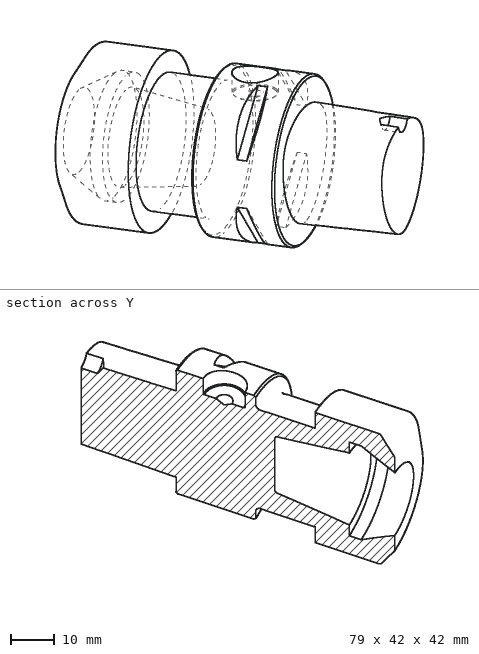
import cadquery as cq
import math

TOTAL_LENGTH = 79.0
NUT_LENGTH = 20.1
NECK_END = 32.2
FLANGE_START = 35.0
FLANGE_END = 55.15

NUT_DIAMETER = 42.0
NUT_FACE_DIAMETER = 30.3
NUT_CONE_LENGTH = 3.6
NUT_EDGE_RADIUS = 0.8
NUT_FACE_RADIUS = 1.6

NECK_DIAMETER = 32.0
RELIEF_DIAMETER = 31.8
RELIEF_RAMP = 0.6
RELIEF_FILLET = 1.3
FLANGE_DIAMETER = 40.0
FLANGE_CHAMFER = 0.5

MOUTH_DIAMETER = 20.1
CHAMBER_DIAMETER = 30.0
CHAMBER_START = 8.45
CHAMBER_END = 11.45
TAPER_DIAMETER = 23.1
THROAT_DIAMETER = 18.0
TAPER_HALF_ANGLE = math.radians(8)
FLOOR_FILLET = 0.7

SHANK_MEAN_RADIUS = 14.0
SHANK_END_RADIUS = 13.4
LOBE_HEIGHT = 0.83
LOBE_COUNT = 3
LOBE_ANGLE = -math.pi / 2
SHANK_POINTS = 48

NOTCH_DIAMETER = 6.0
NOTCH_START = 74.8
NOTCH_HEIGHT = 13.35
DRILL_HALF_ANGLE = math.radians(60)

GROOVE_CENTER = 47.1
GROOVE_FLOOR_WIDTH = 2.3
GROOVE_FLOOR_RADIUS = 17.6
GROOVE_FLANK_ANGLE = math.radians(30)
GROOVE_ANGLES = (45, 135, 225, 315)

POCKET_CENTER = 43.0
POCKET_DIAMETER = 10.5
POCKET_FLOOR_DIAMETER = 10.0
POCKET_DEPTH = 5.05
DIMPLE_DIAMETER = 4.0


def revolve_about_axis(profile):
    """Turn a closed (X, radius) profile about the workplane's X direction."""
    return profile.close().revolve(360, (0, 0, 0), (1, 0, 0))


def make_body():
    nut_r = NUT_DIAMETER / 2
    neck_r = NECK_DIAMETER / 2
    relief_r = RELIEF_DIAMETER / 2
    flange_r = FLANGE_DIAMETER / 2

    nut = revolve_about_axis(
        cq.Workplane("XY")
        .lineTo(0, NUT_FACE_DIAMETER / 2)
        .lineTo(NUT_CONE_LENGTH, nut_r)
        .lineTo(NUT_LENGTH, nut_r)
        .lineTo(NUT_LENGTH, 0)
    )
    cone_edge = cq.selectors.NearestToPointSelector((NUT_CONE_LENGTH, 0, 0))
    nut = nut.edges("%CIRCLE").edges(cone_edge).fillet(NUT_EDGE_RADIUS)
    nut = nut.faces("<X").edges().fillet(NUT_FACE_RADIUS)

    fillet_start = FLANGE_START - RELIEF_FILLET
    arc_offset = RELIEF_FILLET * math.sqrt(0.5)
    neck_and_flange = revolve_about_axis(
        cq.Workplane("XY")
        .moveTo(NUT_LENGTH, 0)
        .lineTo(NUT_LENGTH, neck_r)
        .lineTo(NECK_END, neck_r)
        .lineTo(NECK_END + RELIEF_RAMP, relief_r)
        .lineTo(fillet_start, relief_r)
        .threePointArc(
            (fillet_start + arc_offset, relief_r + RELIEF_FILLET - arc_offset),
            (FLANGE_START, relief_r + RELIEF_FILLET),
        )
        .lineTo(FLANGE_START, flange_r - FLANGE_CHAMFER)
        .lineTo(FLANGE_START + FLANGE_CHAMFER, flange_r)
        .lineTo(FLANGE_END - FLANGE_CHAMFER, flange_r)
        .lineTo(FLANGE_END, flange_r - FLANGE_CHAMFER)
        .lineTo(FLANGE_END, 0)
    )
    return nut.union(neck_and_flange)


def lobe_points(mean_radius):
    """Points (Y, Z) of a constant-width three-lobed curve."""
    points = []
    for i in range(SHANK_POINTS):
        angle = 2 * math.pi * i / SHANK_POINTS
        phase = LOBE_COUNT * (angle - LOBE_ANGLE)
        reach = mean_radius + LOBE_HEIGHT * math.cos(phase)
        slide = -LOBE_COUNT * LOBE_HEIGHT * math.sin(phase)
        points.append((
            reach * math.cos(angle) - slide * math.sin(angle),
            reach * math.sin(angle) + slide * math.cos(angle),
        ))
    return points


def make_shank():
    return (
        cq.Workplane("YZ", origin=(FLANGE_END, 0, 0))
        .spline(lobe_points(SHANK_MEAN_RADIUS), periodic=True).close()
        .workplane(offset=TOTAL_LENGTH - FLANGE_END)
        .spline(lobe_points(SHANK_END_RADIUS), periodic=True).close()
        .loft(ruled=True)
    )


def make_front_cavity():
    throat_r = THROAT_DIAMETER / 2
    taper_r = TAPER_DIAMETER / 2
    throat_x = CHAMBER_END + (taper_r - throat_r) / math.tan(TAPER_HALF_ANGLE)
    arc_offset = FLOOR_FILLET * math.sqrt(0.5)
    return revolve_about_axis(
        cq.Workplane("XY")
        .lineTo(0, MOUTH_DIAMETER / 2)
        .lineTo(CHAMBER_START, CHAMBER_DIAMETER / 2)
        .lineTo(CHAMBER_END, CHAMBER_DIAMETER / 2)
        .lineTo(CHAMBER_END, taper_r)
        .lineTo(throat_x, throat_r)
        .threePointArc(
            (throat_x + arc_offset, throat_r - FLOOR_FILLET + arc_offset),
            (throat_x + FLOOR_FILLET, throat_r - FLOOR_FILLET),
        )
        .lineTo(throat_x + FLOOR_FILLET, 0)
    )


def make_notch():
    """Drilled hole along X that breaks out through the top of the shank."""
    radius = NOTCH_DIAMETER / 2
    tip = NOTCH_START - radius / math.tan(DRILL_HALF_ANGLE)
    return revolve_about_axis(
        cq.Workplane("XY", origin=(0, 0, NOTCH_HEIGHT))
        .moveTo(tip, 0)
        .lineTo(NOTCH_START, radius)
        .lineTo(TOTAL_LENGTH, radius)
        .lineTo(TOTAL_LENGTH, 0)
    )


def make_gripper_groove(angle):
    """Straight trapezoidal groove across the flange, facing the given angle."""
    top_radius = FLANGE_DIAMETER / 2
    height = top_radius - GROOVE_FLOOR_RADIUS
    floor_half = GROOVE_FLOOR_WIDTH / 2
    top_half = floor_half + height * math.tan(GROOVE_FLANK_ANGLE)
    return (
        cq.Workplane("XZ")
        .polyline([
            (GROOVE_CENTER - floor_half, GROOVE_FLOOR_RADIUS),
            (GROOVE_CENTER + floor_half, GROOVE_FLOOR_RADIUS),
            (GROOVE_CENTER + top_half, top_radius),
            (GROOVE_CENTER - top_half, top_radius),
        ])
        .close()
        .extrude(top_radius, both=True)
        .rotate((0, 0, 0), (1, 0, 0), angle)
    )


def make_pocket():
    """Round pocket with a chamfered floor edge and a drill-point dimple."""
    top = FLANGE_DIAMETER / 2
    floor = top - POCKET_DEPTH
    radius = POCKET_DIAMETER / 2
    floor_radius = POCKET_FLOOR_DIAMETER / 2
    dimple_radius = DIMPLE_DIAMETER / 2
    dimple_depth = dimple_radius / math.tan(DRILL_HALF_ANGLE)
    return (
        cq.Workplane("XZ", origin=(POCKET_CENTER, 0, 0))
        .moveTo(0, floor - dimple_depth)
        .lineTo(dimple_radius, floor)
        .lineTo(floor_radius, floor)
        .lineTo(radius, floor + radius - floor_radius)
        .lineTo(radius, top)
        .lineTo(0, top)
        .close()
        .revolve(360, (0, 0, 0), (0, 1, 0))
    )


result = make_body().union(make_shank())
result = result.cut(make_front_cavity()).cut(make_notch()).cut(make_pocket())
for groove_angle in GROOVE_ANGLES:
    result = result.cut(make_gripper_groove(groove_angle))